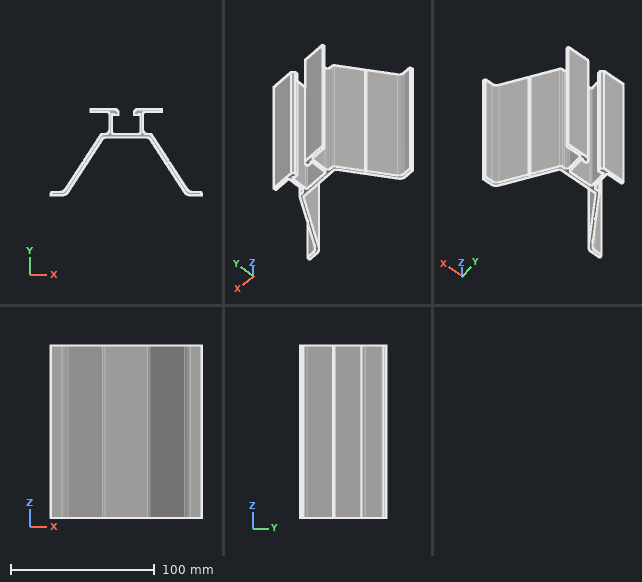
import cadquery as cq
import math

LENGTH = 120
WIDTH = 105.0
HEIGHT = 60

BRIDGE_TOP = 42.8
BRIDGE_THICKNESS = 2.8
LEG_ANGLE = 57
LEG_THICKNESS = 2.5
LEG_FOOT_X = 42
FOOT_THICKNESS = 2.4
FOOT_END_SLANT = 0.5
FOOT_END_UPRIGHT = 1.0
FOOT_BEND_RADIUS = 5.0
SHOULDER_RADIUS = 2.0
NOTCH_TOP = 24
NOTCH_HEIGHT = 1.1

WALL_INNER_X = 9.8
WALL_THICKNESS = 1.9
FLANGE_OUTER_X = 24.8
FLANGE_THICKNESS = 2.0
LIP_INNER_X = 5.3
LIP_DEPTH = 4.2
LIP_CHAMFER = 1.8
RELIEF_WIDTH = 1.2
RELIEF_DEPTH = 0.5
WALL_FOOT_RADIUS = 2.5
SMALL_RADIUS = 1.0

half_width = WIDTH / 2
bridge_bottom = BRIDGE_TOP - BRIDGE_THICKNESS
wall_outer_x = WALL_INNER_X + WALL_THICKNESS
flange_bottom = HEIGHT - FLANGE_THICKNESS
lip_bottom = HEIGHT - LIP_DEPTH
notch_bottom = NOTCH_TOP - NOTCH_HEIGHT
leg_run_per_rise = 1 / math.tan(math.radians(LEG_ANGLE))
leg_width_in_x = LEG_THICKNESS / math.sin(math.radians(LEG_ANGLE))


def leg_inner_x(y):
    """X of the inner leg face at height y."""
    return LEG_FOOT_X - y * leg_run_per_rise


def leg_outer_x(y):
    """X of the outer leg face at height y."""
    return leg_inner_x(y) + leg_width_in_x


def prism(points):
    """Extrude a closed cross-section outline along the rail."""
    return cq.Workplane("XY").polyline(points).close().extrude(LENGTH)


def round_corners(body, corners, radius):
    """Fillet the lengthwise edges passing through the given section corners."""
    for x, y in corners:
        edge = cq.selectors.NearestToPointSelector((x, y, LENGTH / 2))
        body = body.edges("|Z").edges(edge).fillet(radius)
    return body


bridge_inner_corner = (leg_inner_x(bridge_bottom), bridge_bottom)
foot_inner_corner = (LEG_FOOT_X, 0)
foot_outer_corner = (leg_outer_x(FOOT_THICKNESS), FOOT_THICKNESS)
bridge_outer_corner = (leg_outer_x(BRIDGE_TOP), BRIDGE_TOP)
wall_outer_foot = (wall_outer_x, BRIDGE_TOP)
wall_outer_head = (wall_outer_x, flange_bottom)
wall_inner_foot = (WALL_INNER_X, BRIDGE_TOP)

half_rail = prism([
    (0, bridge_bottom),
    bridge_inner_corner,
    foot_inner_corner,
    (half_width, 0),
    (half_width, FOOT_END_UPRIGHT),
    (half_width - FOOT_END_SLANT, FOOT_THICKNESS),
    foot_outer_corner,
    (leg_outer_x(notch_bottom), notch_bottom),
    (leg_outer_x(NOTCH_TOP), notch_bottom),
    (leg_outer_x(NOTCH_TOP), NOTCH_TOP),
    bridge_outer_corner,
    wall_outer_foot,
    wall_outer_head,
    (FLANGE_OUTER_X, flange_bottom),
    (FLANGE_OUTER_X, HEIGHT),
    (LIP_INNER_X + LIP_CHAMFER, HEIGHT),
    (LIP_INNER_X, HEIGHT - LIP_CHAMFER),
    (LIP_INNER_X, lip_bottom),
    (WALL_INNER_X - RELIEF_WIDTH, lip_bottom),
    (WALL_INNER_X - RELIEF_WIDTH, lip_bottom + RELIEF_DEPTH),
    (WALL_INNER_X, lip_bottom + RELIEF_DEPTH),
    wall_inner_foot,
    (0, BRIDGE_TOP),
])

half_rail = round_corners(half_rail, [foot_inner_corner, foot_outer_corner], FOOT_BEND_RADIUS)
half_rail = round_corners(half_rail, [bridge_inner_corner, bridge_outer_corner], SHOULDER_RADIUS)
half_rail = round_corners(half_rail, [wall_outer_foot], WALL_FOOT_RADIUS)
half_rail = round_corners(half_rail, [wall_outer_head, wall_inner_foot], SMALL_RADIUS)

full_rail = half_rail.union(half_rail.mirror("YZ")).clean()
result = full_rail.translate((0, -HEIGHT / 2, -LENGTH / 2))